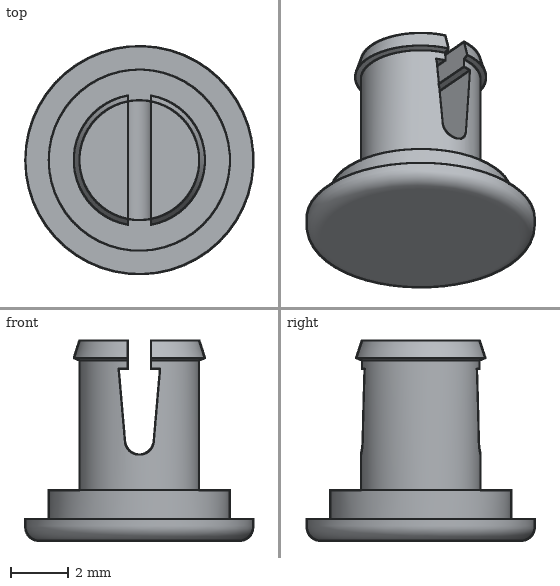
import cadquery as cq
import math


total_height = 7.03
flange_thickness = 0.77
collar_height = 1.01
head_cone_height = 0.62
barb_return_height = 0.08

flange_radius = 4.0
flange_round = 0.5
collar_radius = 3.175
shank_radius = 2.1
barb_radius = 2.3
head_top_radius = 2.1

slot_depth = 4.0
slot_mouth_depth = 1.0
slot_mouth_width = 0.8
slot_shoulder_width = 1.44
slot_end_radius = 0.5

collar_top = flange_thickness + collar_height
barb_z = total_height - head_cone_height
shank_top = barb_z - barb_return_height


def make_body():
    """Revolve the half section, drawn on the -X side, around Z."""
    arc_middle = flange_round * math.sqrt(0.5)
    round_centre = flange_radius - flange_round
    section = (
        cq.Workplane("XZ")
        .moveTo(0, 0)
        .lineTo(-round_centre, 0)
        .threePointArc(
            (-round_centre - arc_middle, flange_round - arc_middle),
            (-flange_radius, flange_round),
        )
        .lineTo(-flange_radius, flange_thickness)
        .lineTo(-collar_radius, flange_thickness)
        .lineTo(-collar_radius, collar_top)
        .lineTo(-shank_radius, collar_top)
        .lineTo(-shank_radius, shank_top)
        .lineTo(-barb_radius, barb_z)
        .lineTo(-head_top_radius, total_height)
        .lineTo(0, total_height)
        .close()
    )
    return section.revolve(360, (0, 0, 0), (0, 1, 0))


def make_slot():
    """Keyhole-shaped cutter: narrow mouth, tapering sides and a tangent round end."""
    mouth_half = slot_mouth_width / 2
    shoulder_half = slot_shoulder_width / 2
    shoulder_z = total_height - slot_mouth_depth
    end_z = total_height - slot_depth
    end_centre_z = end_z + slot_end_radius

    rise = shoulder_z - end_centre_z
    corner_distance = math.hypot(shoulder_half, rise)
    corner_angle = math.atan2(rise, shoulder_half)
    tangent_angle = corner_angle - math.acos(slot_end_radius / corner_distance)
    tangent_x = slot_end_radius * math.cos(tangent_angle)
    tangent_z = end_centre_z + slot_end_radius * math.sin(tangent_angle)

    return (
        cq.Workplane("XZ")
        .moveTo(-mouth_half, total_height)
        .lineTo(-mouth_half, shoulder_z)
        .lineTo(-shoulder_half, shoulder_z)
        .lineTo(-tangent_x, tangent_z)
        .threePointArc((0, end_z), (tangent_x, tangent_z))
        .lineTo(shoulder_half, shoulder_z)
        .lineTo(mouth_half, shoulder_z)
        .lineTo(mouth_half, total_height)
        .close()
        .extrude(barb_radius, both=True)
    )


result = make_body().cut(make_slot())